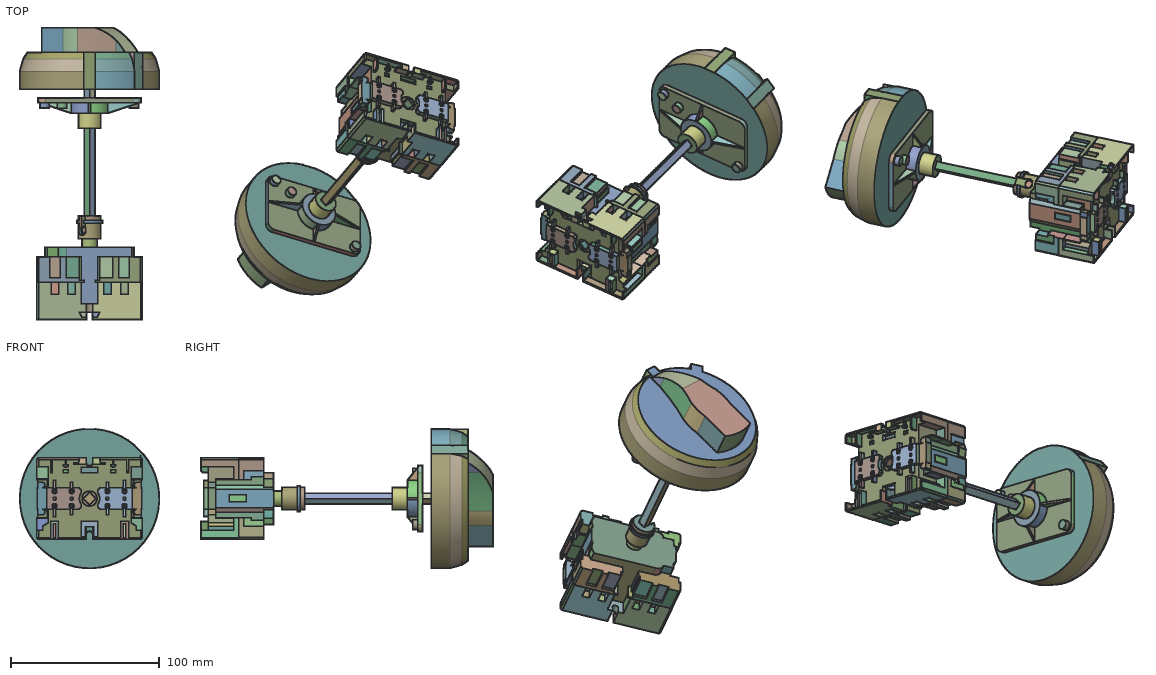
import cadquery as cq
import math


overall_length = 196.3
knob_diameter = 93.9

knob_rear_y = 154.7
knob_rim_y = 167.1
knob_shoulder_y = 175.4
knob_top_y = 179.6
knob_radius = knob_diameter / 2
knob_shoulder_radius = 44.6
knob_top_radius = 41.8
marker_half_width = 4.0
marker_outer = 46.6
marker_inner = 39.8
marker_angles = (0, 45)

handle_angle = 45
handle_back_radius = 35.3
handle_half_width = 12.7
handle_waist_start = -12.7
handle_waist_end = 1.0
handle_waist_bulge = 13.4
handle_neck = 31.0
handle_neck_sag = 1.0
tip_half_width = 6.2
tip_reach = 40.0
tip_slope_start = 13.7
tip_slope_bulge = 1.8

shaft_diagonal = 7.4
plate_width = 69.4
plate_height = 44.7
plate_corner = 5.0
plate_rear_y = 149.0
plate_front_y = 145.8
bolt_head_radius = 3.2
bolt_head_height = 3.6
bolt_places = ((-30.2, 17.3), (-18.4, 11.5), (30.0, -17.6))
hub_radius = 12.4
hub_front_y = 138.7
hub_rib_thickness = 1.4
hub_rib_reach_x = 33.7
hub_rib_reach_z = 21.0
sleeve_radius = 7.55
sleeve_front_y = 128.5

coupling_radius = 7.6
coupling_front_y = 54.4
coupling_rear_y = 69.8
ring_radius = 8.75
ring_front_y = 64.8
ring_rear_y = 66.8
clamp_angle = 45
clamp_width = 5.8
clamp_floor = 4.6
clamp_screw_y = 60.2
clamp_well_radius = 3.3
clamp_screw_radius = 2.5
clamp_screw_top = 5.2
neck_radius = 5.2

body_width = 71.1
body_height = 55.0
body_rear_y = 42.3
body_edge_chamfer = 1.3
half_width = body_width / 2
half_height = body_height / 2
face_y = 4.9
skirt = 1.3
core_half_width = 30.0
core_half_height = 12.8
core_front_y = 9.8
core_rear_y = 48.8
core_flat = 6.1
core_bevel_height = 3.0
core_bevel_depth = 1.7
bevel_x = core_half_width - core_bevel_depth
face_half_width = 27.9
pocket_inner_z = 13.4
pocket_outer_z = 21.2
pocket_rear_y = 22.2
ramp_top_z = 16.3
ramp_foot_z = 18.6
ramp_foot_x = 31.5
notch_inner_z = 14.5
notch_outer_z = 18.6
notch_front_y = 28.9
notch_depth = 1.3
shell_step_y = 33.8
parting_y = 25.3
parting_step = 0.1
deck_half_height = 17.4
deck_ledge_z = 13.3
deck_ledge_x = 21.1
deck_crest_x = 15.6
gap_half_width = 5.65
gap_front_y = 10.6
screw_slot_half_width = 2.1
screw_slot_floor = 21.8


def box(x0, x1, y0, y1, z0, z1):
    """Box between two corners given as ranges along X, Y and Z."""
    size = (abs(x1 - x0), abs(y1 - y0), abs(z1 - z0))
    centre = ((x0 + x1) / 2, (y0 + y1) / 2, (z0 + z1) / 2)
    return cq.Workplane("XY").box(*size).translate(centre)


def sketch_at(y):
    """Workplane facing -Y at the given Y: local x is X, local y is Z."""
    return cq.Workplane("XZ", origin=(0, y, 0))


def disc(x, z, radius, y0, y1):
    """Cylinder along Y."""
    return sketch_at(y1).center(x, z).circle(radius).extrude(y1 - y0)


def square_bar(diagonal, y0, y1):
    """Square bar along Y standing on its edge."""
    return sketch_at(y1).polygon(4, diagonal).extrude(y1 - y0)


def union_all(solids):
    """Fuse a list of solids."""
    total = solids[0]
    for solid in solids[1:]:
        total = total.union(solid)
    return total


def knob_base():
    profile = [
        (0, knob_rear_y),
        (knob_radius, knob_rear_y),
        (knob_radius, knob_rim_y),
        (knob_shoulder_radius, knob_shoulder_y),
        (knob_top_radius, knob_top_y),
        (0, knob_top_y),
    ]
    base = cq.Workplane("XY").polyline(profile).close().revolve(360, (0, 0), (0, 1))
    for angle in marker_angles:
        footprint = (-marker_half_width, marker_half_width, knob_rear_y, knob_top_y)
        marker = box(*footprint, marker_inner, marker_outer).rotate((0, 0, 0), (0, 1, 0), angle)
        flat = box(*footprint, marker_outer, knob_radius).rotate((0, 0, 0), (0, 1, 0), angle)
        base = base.cut(flat).union(marker)
    return base


def handle():
    back_x = -math.sqrt(handle_back_radius**2 - handle_half_width**2)
    neck_middle = (handle_waist_end + handle_neck) / 2
    neck_sag_width = (handle_half_width + tip_half_width) / 2 - handle_neck_sag
    waist_middle = (handle_waist_start + handle_waist_end) / 2
    outline = (
        sketch_at(overall_length)
        .moveTo(back_x, handle_half_width)
        .lineTo(handle_waist_start, handle_half_width)
        .threePointArc((waist_middle, handle_waist_bulge), (handle_waist_end, handle_half_width))
        .threePointArc((neck_middle, neck_sag_width), (handle_neck, tip_half_width))
        .lineTo(tip_reach, tip_half_width)
        .lineTo(tip_reach, -tip_half_width)
        .lineTo(handle_neck, -tip_half_width)
        .threePointArc((neck_middle, -neck_sag_width), (handle_waist_end, -handle_half_width))
        .threePointArc((waist_middle, -handle_waist_bulge), (handle_waist_start, -handle_half_width))
        .lineTo(back_x, -handle_half_width)
        .threePointArc((-handle_back_radius, 0), (back_x, handle_half_width))
        .close()
    )
    grip = outline.extrude(overall_length - knob_top_y)
    slope_middle = (
        (tip_slope_start + tip_reach) / 2 + tip_slope_bulge,
        (overall_length + knob_top_y) / 2 + tip_slope_bulge,
    )
    above_slope = (
        cq.Workplane("XY")
        .moveTo(tip_slope_start, overall_length)
        .threePointArc(slope_middle, (tip_reach, knob_top_y))
        .lineTo(tip_reach, overall_length)
        .close()
        .extrude(handle_half_width * 2, both=True)
    )
    return grip.cut(above_slope).rotate((0, 0, 0), (0, 1, 0), -handle_angle)


def hub_rib(reach, angle):
    """Tapered rib from the hub's front edge out to the plate."""
    rib = (
        cq.Workplane("XY")
        .polyline([(0, plate_front_y), (reach, plate_front_y), (hub_radius, hub_front_y), (0, hub_front_y)])
        .close()
        .extrude(hub_rib_thickness / 2, both=True)
    )
    return rib.rotate((0, 0, 0), (0, 1, 0), angle)


def door_plate():
    thickness = plate_rear_y - plate_front_y
    plate = sketch_at(plate_rear_y).rect(plate_width, plate_height).extrude(thickness)
    plate = plate.edges("|Y").fillet(plate_corner)
    parts = [plate, disc(0, 0, hub_radius, hub_front_y, plate_front_y)]
    parts.append(disc(0, 0, sleeve_radius, sleeve_front_y, hub_front_y))
    for x, z in bolt_places:
        parts.append(disc(x, z, bolt_head_radius, plate_front_y - bolt_head_height, plate_front_y))
    for angle in (0, 180):
        parts.append(hub_rib(hub_rib_reach_x, angle))
    for angle in (90, 270):
        parts.append(hub_rib(hub_rib_reach_z, angle))
    return union_all(parts)


def coupling():
    sleeve = disc(0, 0, coupling_radius, coupling_front_y, coupling_rear_y)
    sleeve = sleeve.union(disc(0, 0, ring_radius, ring_front_y, ring_rear_y))
    groove = box(-clamp_width / 2, clamp_width / 2, clamp_screw_y, coupling_rear_y, clamp_floor, ring_radius)
    well = (
        cq.Workplane("XY", origin=(0, clamp_screw_y, clamp_floor))
        .circle(clamp_well_radius)
        .extrude(ring_radius - clamp_floor)
    )
    screw = (
        cq.Workplane("XY", origin=(0, clamp_screw_y, 0))
        .circle(clamp_screw_radius)
        .extrude(clamp_screw_top)
    )
    clamp_cut = groove.union(well).cut(screw)
    sleeve = sleeve.cut(clamp_cut.rotate((0, 0, 0), (0, 1, 0), -clamp_angle))
    return sleeve.union(disc(0, 0, neck_radius, core_rear_y, coupling_front_y))


def core():
    """Middle bar of the body, bevelled along its sides, with the stepped deck behind the shells."""
    bevel_z = core_flat + core_bevel_height
    quarter = [
        (bevel_x, core_half_height),
        (bevel_x, bevel_z),
        (core_half_width, core_flat),
    ]
    lower_right = [(x, -z) for x, z in reversed(quarter)]
    right = quarter + lower_right
    left = [(-x, -z) for x, z in right]
    bar = sketch_at(core_rear_y).polyline(right + left).close().extrude(core_rear_y - core_front_y)

    arc_mix = math.sqrt(0.5)
    crest_middle = (
        -deck_crest_x - (deck_ledge_x - deck_crest_x) * arc_mix,
        deck_ledge_z + (deck_half_height - deck_ledge_z) * arc_mix,
    )
    deck_half = (
        sketch_at(core_rear_y)
        .moveTo(-bevel_x, 0)
        .lineTo(-bevel_x, deck_ledge_z)
        .lineTo(-deck_ledge_x, deck_ledge_z)
        .threePointArc(crest_middle, (-deck_crest_x, deck_half_height))
        .lineTo(bevel_x, deck_half_height)
        .lineTo(core_half_width, deck_ledge_z)
        .lineTo(bevel_x, 0)
        .close()
        .extrude(core_rear_y - body_rear_y)
    )
    deck = deck_half.union(deck_half.mirror("XY"))
    inside = box(-face_half_width, face_half_width, face_y, body_rear_y, -deck_half_height, deck_half_height)
    return union_all([bar, deck, inside])


def pocket_ramp(side):
    """Lining of a lower side pocket that slopes outward as it goes down."""
    inner_x = side * (face_half_width - skirt)
    outline = [
        (inner_x, -pocket_inner_z),
        (side * face_half_width, -pocket_inner_z),
        (side * face_half_width, -ramp_top_z),
        (side * ramp_foot_x, -ramp_foot_z),
        (side * ramp_foot_x, -pocket_outer_z),
        (inner_x, -pocket_outer_z),
    ]
    return sketch_at(pocket_rear_y).polyline(outline).close().extrude(pocket_rear_y - face_y)


def housing_block(y0, y1, inset):
    """Chamfered rectangular block with its outline drawn in by the inset."""
    x = half_width - inset
    z = half_height - inset
    return box(-x, x, y0, y1, -z, z).edges("|Y").chamfer(body_edge_chamfer)


def shell_pair():
    """Upper and lower housing shells with hollow mouths at the -Y end."""
    block = housing_block(0, parting_y, 0).union(housing_block(parting_y, body_rear_y, parting_step))
    block = block.cut(box(-half_width, half_width, 0, body_rear_y, -core_half_height, core_half_height))
    skirt_z = half_height - skirt
    mouth = box(-half_width + skirt, half_width - skirt, 0, face_y, -skirt_z, skirt_z)
    block = block.cut(mouth)
    for side in (-1, 1):
        outer_x = side * half_width
        for level in (-1, 1):
            pocket_z = (level * core_half_height, level * pocket_outer_z)
            block = block.cut(box(outer_x, side * face_half_width, 0, pocket_rear_y, *pocket_z))
            ledge_z = (level * core_half_height, level * pocket_inner_z)
            block = block.union(box(outer_x, side * face_half_width, core_front_y, pocket_rear_y, *ledge_z))
            notch_z = (level * core_half_height, level * notch_outer_z)
            notch_x = (outer_x, outer_x - side * notch_depth)
            block = block.cut(box(*notch_x, notch_front_y, body_rear_y, *notch_z))
            step_z = (level * core_half_height, level * notch_inner_z)
            block = block.cut(box(outer_x, side * bevel_x, shell_step_y, body_rear_y, *step_z))
        block = block.union(pocket_ramp(side))
    return block


terminal_depth = 2.0
terminal_front_y = 28.3
terminal_ranges = ((6.8, 15.7), (19.75, 26.85))
port_depth = 6.0
port_front_y = 17.0
port_ranges = ((9.7, 14.6), (20.85, 25.85))
gap_ledge_z = 22.0
gap_lip_x = (3.7, 7.2)
gap_lip_rear_y = 26.6


def shell_openings():
    """Terminal recesses and cable ports in the +Z and -Z faces, and the central gap."""
    cuts = []
    for level in (-1, 1):
        outer_z = level * half_height
        for side in (-1, 1):
            for near, far in terminal_ranges:
                recess_z = (outer_z, outer_z - level * terminal_depth)
                cuts.append(box(side * near, side * far, terminal_front_y, body_rear_y, *recess_z))
            for near, far in port_ranges:
                port_z = (outer_z, outer_z - level * port_depth)
                cuts.append(box(side * near, side * far, port_front_y, parting_y, *port_z))
        gap_z = (outer_z, level * deck_half_height)
        cuts.append(box(-gap_half_width, gap_half_width, gap_front_y, body_rear_y, *gap_z))
        ledge_x = terminal_ranges[0][0]
        ledge_z = (outer_z, level * gap_ledge_z)
        cuts.append(box(-ledge_x, ledge_x, gap_lip_rear_y, body_rear_y, *ledge_z))
    return union_all(cuts)


def gap_lips():
    """Thin lips that narrow the central gap at the parting plane."""
    lips = []
    for level in (-1, 1):
        lip_z = (level * deck_half_height, level * (half_height - parting_step))
        for side in (-1, 1):
            near, far = (side * x for x in gap_lip_x)
            lips.append(box(near, far, parting_y, gap_lip_rear_y, *lip_z))
    return union_all(lips)


window_depth = 3.2
window_post_half_width = 3.0
window_upper_z = (17.4, 21.0)
window_lower_z = (-18.9, -15.1)
window_lower_end_z = -25.8
cheek_half_width = 7.2
cheek_z = 22.9
hook_half_width = 10.5
hook_thickness = 1.0
lower_cheek_z = -19.5
slot_notch_x = 6.8
slot_notch_front_y = 1.7
slot_notch_taper = 1.6
slot_notch_depth = 2.1
upper_rib_x = (25.0, 26.2)
upper_rib_z = 17.4
upper_rib_chamfer = 1.2
channel_x = (20.9, 26.2)
channel_slot_x = (22.7, 24.5)
channel_top_z = -15.4
channel_slot_top_z = -16.8
catch_x = 15.9
catch_half_width = 1.7
catch_hole_z = (17.2, 19.4)
catch_hole_depth = 3.0
catch_stem_half_width = 0.4
catch_stem_z = 22.8
catch_height = 2.0


def mouth_ribs():
    """Ribs standing on the body face inside the skirts."""
    skirt_z = half_height - skirt / 2
    ribs = [
        box(-cheek_half_width, cheek_half_width, 0, face_y, cheek_z, skirt_z),
        box(-hook_half_width, hook_half_width, 0, face_y, cheek_z, cheek_z + hook_thickness),
    ]
    for side in (-1, 1):
        near, far = (side * x for x in upper_rib_x)
        upper_rib = box(near, far, 0, face_y, upper_rib_z, skirt_z)
        ribs.append(upper_rib.edges("|X and <Y and <Z").chamfer(upper_rib_chamfer))
        near, far = (side * x for x in channel_x)
        channel = box(near, far, 0, face_y, -skirt_z, channel_top_z)
        near, far = (side * x for x in channel_slot_x)
        ribs.append(channel.cut(box(near, far, 0, face_y, -half_height + skirt, channel_slot_top_z)))
        cheek_x = (side * screw_slot_half_width, side * window_post_half_width)
        ribs.append(box(*cheek_x, 0, face_y, -skirt_z, lower_cheek_z))
        stem_x = (side * catch_x - catch_stem_half_width, side * catch_x + catch_stem_half_width)
        ribs.append(box(*stem_x, face_y - catch_height, face_y, catch_stem_z, skirt_z))
        left_x = side * catch_x - catch_half_width
        right_x = side * catch_x + catch_half_width
        catch = (
            sketch_at(face_y)
            .moveTo(left_x, catch_stem_z)
            .threePointArc((side * catch_x, catch_stem_z - catch_half_width), (right_x, catch_stem_z))
            .close()
            .extrude(catch_height)
        )
        ribs.append(catch)
    return union_all(ribs)


def mouth_cuts():
    """Screw slots, windows behind them, catch holes and the notches beside the upper slot."""
    cuts = []
    for level in (-1, 1):
        slot_centre = level * (screw_slot_floor + screw_slot_half_width)
        cuts.append(disc(0, slot_centre, screw_slot_half_width, 0, gap_front_y))
        slot_x = (-screw_slot_half_width, screw_slot_half_width)
        cuts.append(box(*slot_x, 0, gap_front_y, slot_centre, level * half_height))
    for side in (-1, 1):
        notch = (
            cq.Workplane("XY", origin=(0, 0, half_height))
            .polyline([
                (side * screw_slot_half_width, slot_notch_front_y),
                (side * (slot_notch_x - slot_notch_taper), slot_notch_front_y),
                (side * slot_notch_x, face_y),
                (side * screw_slot_half_width, face_y),
            ])
            .close()
            .extrude(-slot_notch_depth)
        )
        cuts.append(notch)
    window_y = (face_y, face_y + window_depth)
    cuts.append(box(-gap_half_width, gap_half_width, *window_y, *window_upper_z))
    cuts.append(box(-gap_half_width, gap_half_width, *window_y, *window_lower_z))
    strip_z = (window_lower_end_z, window_lower_z[1])
    for side in (-1, 1):
        strip_x = (side * window_post_half_width, side * gap_half_width)
        cuts.append(box(*strip_x, *window_y, *strip_z))
    for side in (-1, 1):
        hole_x = (side * catch_x - catch_half_width, side * catch_x + catch_half_width)
        cuts.append(box(*hole_x, face_y, face_y + catch_hole_depth, *catch_hole_z))
    return union_all(cuts)


cover_front_y = 1.8
cover_x = (5.5, 28.6)
cover_half_height = 7.1
cover_corner = 1.5
cover_clearance_radius = 6.8
cover_screw_x = (12.0, 23.5)
cover_screw_z = 4.95
cover_screw_radius = 1.6
cover_pin_radius = 0.9
cover_hole_radius = 1.0
cover_hole_depth = 1.5
tab_half_width = 0.8
tab_reach = (11.0, 12.2)


def contact_cover(side):
    """Raised cover plate with screws and locating tabs; side is -1 or +1 along X."""
    near, far = cover_x
    height = cover_half_height * 2
    thickness = face_y - cover_front_y
    plate = sketch_at(face_y).center(side * (near + far) / 2, 0).rect(far - near, height).extrude(thickness)
    inner_edges = "|Y and <X" if side > 0 else "|Y and >X"
    plate = plate.edges(inner_edges).chamfer(cover_corner)
    plate = plate.cut(disc(0, 0, cover_clearance_radius, cover_front_y, face_y))
    recess_y = cover_front_y + cover_hole_depth
    for x, reach in zip(cover_screw_x, tab_reach):
        tab_x = (side * x - tab_half_width, side * x + tab_half_width)
        plate = plate.union(box(*tab_x, cover_front_y, face_y, -reach, reach))
        plate = plate.cut(disc(side * x, 0, cover_hole_radius, cover_front_y, recess_y))
        for z in (-cover_screw_z, cover_screw_z):
            plate = plate.cut(disc(side * x, z, cover_screw_radius, cover_front_y, recess_y))
            plate = plate.union(disc(side * x, z, cover_pin_radius, cover_front_y, recess_y))
    return plate


latch_outer_x = 35.2
latch_half_height = 7.1
lug_z = 9.0
lug_radius = 2.0
lug_x = (32.0, 34.7)


def side_latch(side):
    """End block on the core with a rounded lug above and below it."""
    inner_x = side * (face_half_width - skirt)
    latch_z = (-latch_half_height, latch_half_height)
    latch = box(side * latch_outer_x, inner_x, face_y, core_front_y, *latch_z)
    round_x, outer_x = (side * x for x in lug_x)
    for level in (-1, 1):
        z = level * lug_z
        latch = latch.union(disc(round_x, z, lug_radius, face_y, core_front_y))
        latch = latch.union(box(round_x, outer_x, face_y, core_front_y, z - lug_radius, z + lug_radius))
    return latch


rotor_hole_radius = 5.05
rotor_recess = 1.0
rotor_socket_diagonal = 8.6
rotor_socket_depth = 10.0
label_y = (18.9, 30.3)
label_z = (-2.1, 2.7)
label_depth = 0.5


def switch_body():
    body = core().union(shell_pair()).cut(shell_openings()).union(gap_lips())
    body = body.union(mouth_ribs()).cut(mouth_cuts())
    for side in (-1, 1):
        body = body.union(contact_cover(side)).union(side_latch(side))
        label_x = (side * core_half_width, side * (core_half_width - label_depth))
        body = body.cut(box(*label_x, *label_y, *label_z))
    body = body.cut(disc(0, 0, rotor_hole_radius, face_y, face_y + rotor_recess))
    socket_y = face_y + rotor_recess
    return body.cut(square_bar(rotor_socket_diagonal, socket_y, socket_y + rotor_socket_depth))


shaft = square_bar(shaft_diagonal, coupling_front_y, knob_rear_y)
result = union_all([knob_base(), handle(), shaft, door_plate(), coupling(), switch_body()])